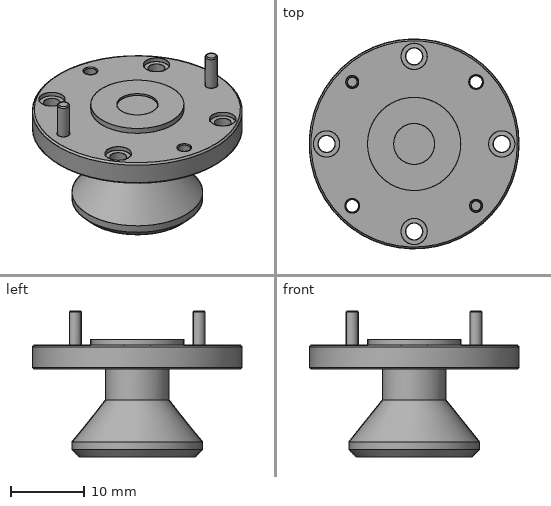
import cadquery as cq

bevel_height = 1.03
rim_top = 2.05
flare_top = 7.75
flange_bottom = 11.95
flange_top = 15.23
boss_top = 16
pin_top = 19.88

flange_diameter = 28.57
flange_chamfer = 0.25
neck_diameter = 8.69
knob_diameter = 17.8
boss_diameter = 12.69
recess_diameter = 5.57
recess_depth = 0.29

hole_circle_radius = 11.9
bolt_hole_diameter = 2.29
counterbore_diameter = 3.57
counterbore_depth = 0.57
guide_hole_diameter = 1.7
guide_hole_chamfer = 0.15
bolt_angles = [0, 90, 180, 270]
guide_angles = [45, 225]

pin_diameter = 1.65
pin_chamfer = 0.17
pin_seat_chamfer = 0.05
pin_angles = [135, 315]


def disc(diameter, bottom, top):
    """Solid cylinder on the Z axis between two heights."""
    return cq.Workplane("XY").workplane(offset=bottom).circle(diameter / 2).extrude(top - bottom)


def place(body, angle):
    """Move a body from the Z axis onto the hole circle at the given angle."""
    return body.translate((hole_circle_radius, 0, 0)).rotate((0, 0, 0), (0, 0, 1), angle)


def make_knob_blank():
    """Beveled, flared knob with its neck, flange and centre boss."""
    knob_radius = knob_diameter / 2
    neck_radius = neck_diameter / 2
    knob = (
        cq.Workplane("XZ")
        .moveTo(0, 0)
        .lineTo(knob_radius - bevel_height, 0)
        .lineTo(knob_radius, bevel_height)
        .lineTo(knob_radius, rim_top)
        .lineTo(neck_radius, flare_top)
        .lineTo(neck_radius, flange_bottom)
        .lineTo(0, flange_bottom)
        .close()
        .revolve(360, (0, 0, 0), (0, 1, 0))
    )
    flange = disc(flange_diameter, flange_bottom, flange_top).edges().chamfer(flange_chamfer)
    boss = disc(boss_diameter, flange_top, boss_top)
    return knob.union(flange).union(boss)


def make_bolt_cutter():
    """Through hole with a shallow counterbore in the flange top."""
    hole = disc(bolt_hole_diameter, flange_bottom, flange_top)
    counterbore = disc(counterbore_diameter, flange_top - counterbore_depth, flange_top)
    return hole.union(counterbore)


def make_chamfered_cutter(diameter, chamfer):
    """Through hole with a chamfered mouth in the flange top."""
    hole = disc(diameter, flange_bottom, flange_top)
    cone = cq.Workplane(
        cq.Solid.makeCone(
            diameter / 2,
            diameter / 2 + chamfer,
            chamfer,
            cq.Vector(0, 0, flange_top - chamfer),
        )
    )
    return hole.union(cone)


def make_flanged_knob():
    body = make_knob_blank().cut(disc(recess_diameter, boss_top - recess_depth, boss_top))
    for angle in bolt_angles:
        body = body.cut(place(make_bolt_cutter(), angle))
    for angle in guide_angles:
        body = body.cut(place(make_chamfered_cutter(guide_hole_diameter, guide_hole_chamfer), angle))
    for angle in pin_angles:
        body = body.cut(place(make_chamfered_cutter(pin_diameter, pin_seat_chamfer), angle))
    return body


def make_pin(angle):
    """Dowel pin with a chamfered top end."""
    pin = disc(pin_diameter, flange_bottom, pin_top).faces(">Z").chamfer(pin_chamfer)
    return place(pin, angle)


flanged_knob = make_flanged_knob()
pins = [make_pin(angle) for angle in pin_angles]

result = cq.Compound.makeCompound([flanged_knob.val(), *[pin.val() for pin in pins]])